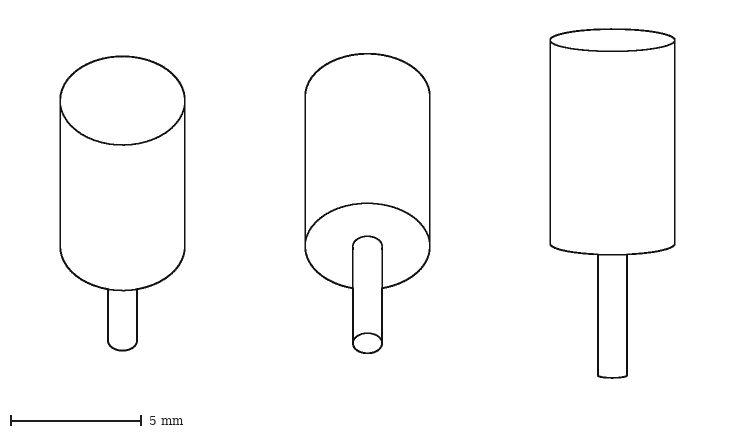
import cadquery as cq

total_height = 13.02
body_diameter = 4.78
body_height = 7.9
pin_diameter = 1.12

pin_length = total_height - body_height


def make_body():
    """Plain cylinder standing on the XY plane."""
    return cq.Workplane("XY").circle(body_diameter / 2).extrude(body_height)


def make_pin():
    """Thin coaxial pin hanging from the underside of the body."""
    return cq.Workplane("XY").circle(pin_diameter / 2).extrude(-pin_length)


body = make_body()
pin = make_pin()

result = cq.Compound.makeCompound([body.val(), pin.val()])